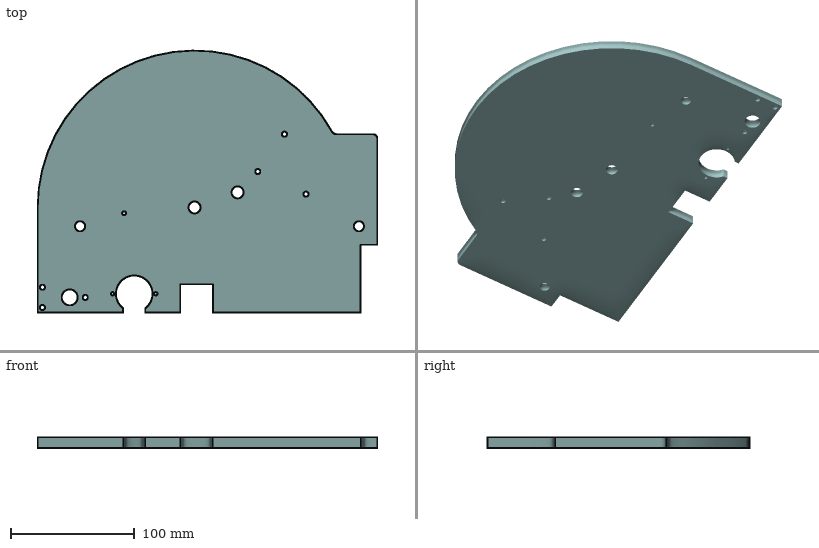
import cadquery as cq
import math

THICKNESS = 9.0
LENGTH = 274.92
DEPTH = 212.14
ARC_RADIUS = 127.0

LEFT = -ARC_RADIUS
RIGHT = LEFT + LENGTH
BACK = ARC_RADIUS
FRONT = BACK - DEPTH

TAB_BACK = 59.4
TAB_OVERHANG = 13.7
TAB_FRONT = FRONT + 54.8
TAB_CORNER_RADIUS = 4.0
TAB_ROOT_RADIUS = 4.0

NOTCH_LEFT = -11.4
NOTCH_WIDTH = 26.3
NOTCH_DEPTH = 23.0

KEYHOLE_X = -48.8
KEYHOLE_Y = -69.8
KEYHOLE_DIAMETER = 29.4
KEYHOLE_SLOT_WIDTH = 17.8
KEYHOLE_SCREW_SPACING = 35.0

SHAFT_DIAMETER = 9.53
SHAFT_POINTS = [(0, 0), (34.8, 12.2)]

MOUNT_DIAMETER = 8.0
MOUNT_Y = -15.2
MOUNT_POINTS = [(-92.6, MOUNT_Y), (132.9, MOUNT_Y)]

PIVOT_DIAMETER = 12.7
PIVOT_X = -101.0
PIVOT_Y = -72.7
PIVOT_SCREW_OFFSET = 12.6

EDGE_SCREW_X = LEFT + 4.0
EDGE_SCREW_SPACING = 16.4

SCREW_DIAMETER = 4.0
SCREW_POINTS = [
    (72.7, 59.3),
    (51.1, 29.0),
    (90.1, 10.8),
    (PIVOT_X + PIVOT_SCREW_OFFSET, PIVOT_Y),
    (EDGE_SCREW_X, PIVOT_Y + EDGE_SCREW_SPACING / 2),
    (EDGE_SCREW_X, PIVOT_Y - EDGE_SCREW_SPACING / 2),
]

PIN_DIAMETER = 3.0
PIN_POINTS = [(-57.0, -4.6)]

KEYHOLE_SCREW_DIAMETER = 2.5
KEYHOLE_SCREW_POINTS = [
    (KEYHOLE_X - KEYHOLE_SCREW_SPACING / 2, KEYHOLE_Y),
    (KEYHOLE_X + KEYHOLE_SCREW_SPACING / 2, KEYHOLE_Y),
]

HOLE_GROUPS = [
    (SHAFT_DIAMETER, SHAFT_POINTS),
    (MOUNT_DIAMETER, MOUNT_POINTS),
    (PIVOT_DIAMETER, [(PIVOT_X, PIVOT_Y)]),
    (SCREW_DIAMETER, SCREW_POINTS),
    (PIN_DIAMETER, PIN_POINTS),
    (KEYHOLE_SCREW_DIAMETER, KEYHOLE_SCREW_POINTS),
]


def make_plate():
    """Plate outline with the large arc running into the right-hand tab."""
    arc_end_x = math.sqrt(ARC_RADIUS**2 - TAB_BACK**2)
    step_x = RIGHT - TAB_OVERHANG
    plate = (
        cq.Workplane("XY")
        .moveTo(LEFT, FRONT)
        .lineTo(step_x, FRONT)
        .lineTo(step_x, TAB_FRONT)
        .lineTo(RIGHT, TAB_FRONT)
        .lineTo(RIGHT, TAB_BACK)
        .lineTo(arc_end_x, TAB_BACK)
        .threePointArc((0, BACK), (LEFT, 0))
        .close()
        .extrude(THICKNESS)
    )
    plate = round_upright_edge(plate, RIGHT, TAB_BACK, TAB_CORNER_RADIUS)
    return round_upright_edge(plate, arc_end_x, TAB_BACK, TAB_ROOT_RADIUS)


def round_upright_edge(plate, x, y, radius):
    """Fillet the vertical edge nearest to (x, y)."""
    edge = cq.selectors.NearestToPointSelector((x, y, THICKNESS / 2))
    return plate.edges("|Z").edges(edge).fillet(radius)


def make_front_cut(left, width, back):
    """Rectangular cutter from the front edge back to y = back."""
    return cq.Workplane("XY").box(width, back - FRONT, THICKNESS, centered=False).translate((left, FRONT, 0))


def make_keyhole():
    """Cutter for the round opening and its slot to the front edge."""
    opening = cq.Workplane("XY").center(KEYHOLE_X, KEYHOLE_Y).circle(KEYHOLE_DIAMETER / 2).extrude(THICKNESS)
    slot = make_front_cut(KEYHOLE_X - KEYHOLE_SLOT_WIDTH / 2, KEYHOLE_SLOT_WIDTH, KEYHOLE_Y)
    return opening.union(slot)


def make_holes(diameter, points):
    """Cutter for a group of equal through holes."""
    return cq.Workplane("XY").pushPoints(points).circle(diameter / 2).extrude(THICKNESS)


result = make_plate()
result = result.cut(make_front_cut(NOTCH_LEFT, NOTCH_WIDTH, FRONT + NOTCH_DEPTH))
result = result.cut(make_keyhole())
for hole_diameter, hole_points in HOLE_GROUPS:
    result = result.cut(make_holes(hole_diameter, hole_points))